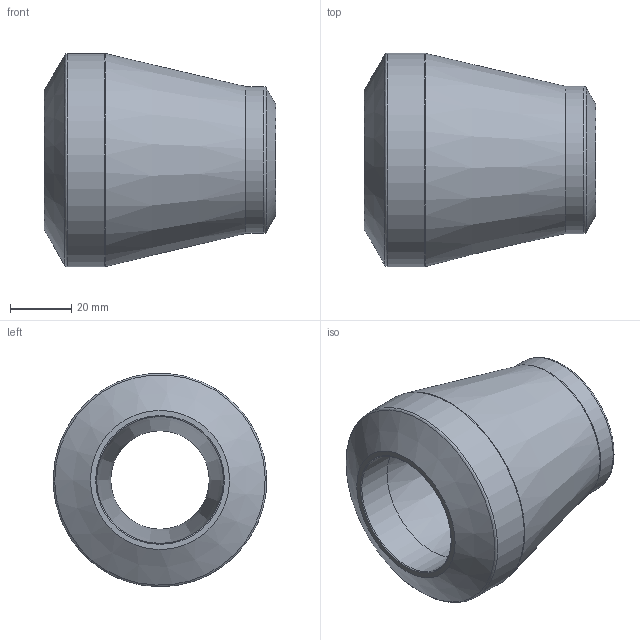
import cadquery as cq
import math

total_length = 76.0
large_outer_radius = 70.0 / 2
large_bore_radius = 41.6 / 2
small_outer_radius = 48.3 / 2
small_bore_radius = 32.3 / 2

large_end_length = 20.0
small_end_length = 10.0
bore_taper_start = 12.0
taper_start = large_end_length
taper_end = total_length - small_end_length

land_width = 2.0
bevel_angle = math.radians(30.0)
bevel_rounding = 1.0
taper_rounding = 1.0

mouth_rounding = 0.3

selection_margin = 0.01


def bevel_length(outer_radius, bore_radius):
    """Axial length of the bevel from the land up to the outer cylinder."""
    return (outer_radius - bore_radius - land_width) * math.tan(bevel_angle)


large_bevel_end = bevel_length(large_outer_radius, large_bore_radius)
small_bevel_start = total_length - bevel_length(small_outer_radius, small_bore_radius)


def make_reducer():
    """Revolve the wall section, drawn as (axial position, radius)."""
    wall = [
        (0, large_bore_radius),
        (0, large_bore_radius + land_width),
        (large_bevel_end, large_outer_radius),
        (taper_start, large_outer_radius),
        (taper_end, small_outer_radius),
        (small_bevel_start, small_outer_radius),
        (total_length, small_bore_radius + land_width),
        (total_length, small_bore_radius),
        (taper_end, small_bore_radius),
        (bore_taper_start, large_bore_radius),
    ]
    return cq.Workplane("XY").polyline(wall).close().revolve(360, (0, 0, 0), (1, 0, 0))


def ring_edges(body, axial_position, radius):
    """Circular edges of the given radius at one position along the axis."""
    slab = cq.selectors.BoxSelector(
        (axial_position - selection_margin, -radius - selection_margin, -radius - selection_margin),
        (axial_position + selection_margin, radius + selection_margin, radius + selection_margin),
        boundingbox=True,
    )
    edges = body.edges("%CIRCLE").edges(slab)
    return edges.filter(lambda edge: abs(edge.radius() - radius) < selection_margin)


def round_bevels(body):
    body = ring_edges(body, large_bevel_end, large_outer_radius).fillet(bevel_rounding)
    return ring_edges(body, small_bevel_start, small_outer_radius).fillet(bevel_rounding)


def blend_taper(body):
    body = ring_edges(body, taper_start, large_outer_radius).fillet(taper_rounding)
    return ring_edges(body, taper_end, small_outer_radius).fillet(taper_rounding)


def round_bore_mouth(body):
    return ring_edges(body, 0, large_bore_radius).fillet(mouth_rounding)


result = round_bore_mouth(blend_taper(round_bevels(make_reducer())))